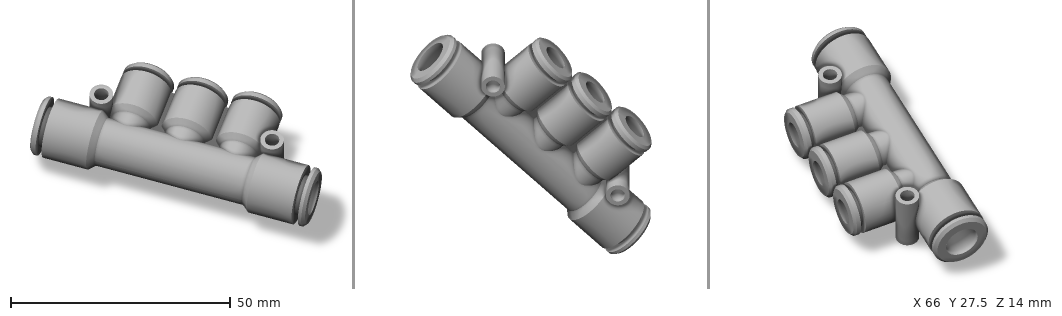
import cadquery as cq


run_half_length = 33.0
run_collar_length = 1.5
run_collar_chamfer = 0.7
run_neck_length = 1.5
run_sleeve_length = 10.7
run_shoulder_length = 1.6
run_collar_radius = 6.9
run_neck_radius = 4.65
run_sleeve_radius = 7.0
run_tube_radius = 5.65
run_socket_radius = 4.0
run_passage_radius = 3.2

branch_count = 3
branch_pitch = 13.0
branch_tip_y = 20.46
branch_collar_length = 1.65
branch_collar_chamfer = 0.6
branch_neck_length = 1.15
branch_sleeve_length = 9.75
branch_shoulder_length = 1.4
branch_collar_radius = 6.05
branch_neck_radius = 4.45
branch_sleeve_radius = 6.1
branch_stem_radius = 4.85
branch_socket_radius = 3.0
branch_passage_radius = 2.3

web_thickness = 1.4
web_tip_y = 17.5

eyelet_x = 20.5
eyelet_y = 7.85
eyelet_radius = 2.7
eyelet_hole_radius = 1.65
eyelet_height = 2 * run_sleeve_radius

branch_xs = [(i - (branch_count - 1) / 2) * branch_pitch for i in range(branch_count)]


def port_outline(tip, collar_length, collar_chamfer, neck_length, sleeve_length, shoulder_length,
                 collar_radius, neck_radius, sleeve_radius, stem_radius):
    """Stepped outer edge of a port about the Y axis, from its stem up to the rim of its face at y = tip."""
    collar_base = tip - collar_length
    sleeve_top = collar_base - neck_length
    sleeve_base = sleeve_top - sleeve_length
    stem_top = sleeve_base - shoulder_length
    return [
        (stem_radius, stem_top),
        (sleeve_radius, sleeve_base),
        (sleeve_radius, sleeve_top),
        (neck_radius, sleeve_top),
        (neck_radius, collar_base),
        (collar_radius, collar_base),
        (collar_radius, tip - collar_chamfer),
        (collar_radius - collar_chamfer, tip),
    ]


def socket_outline(tip, socket_depth, socket_radius, passage_radius):
    """Stepped edge of a bore about the Y axis: a passage, then a wider tube socket open at y = tip."""
    return [
        (passage_radius, tip - socket_depth),
        (socket_radius, tip - socket_depth),
        (socket_radius, tip),
    ]


def turned(outline):
    """Solid of revolution about the Y axis, closed flat at both ends of the outline."""
    start_y = outline[0][1]
    end_y = outline[-1][1]
    profile = [(0, start_y)] + outline + [(0, end_y)]
    return cq.Workplane("XY").polyline(profile).close().revolve(360, (0, 0, 0), (0, 1, 0))


def make_run(half_outline):
    """Mirror one half of an outline and turn it into a double-ended solid along X."""
    mirrored = [(radius, -y) for radius, y in reversed(half_outline)]
    return turned(mirrored + half_outline).rotate((0, 0, 0), (0, 0, 1), -90)


def make_branches(outline):
    """Solids turned from the outline, which is carried straight down to the run axis, one per branch."""
    foot = (outline[0][0], 0)
    branch = turned([foot] + outline)
    copies = branch.translate((branch_xs[0], 0, 0))
    for x in branch_xs[1:]:
        copies = copies.union(branch.translate((x, 0, 0)))
    return copies


def at_eyelets(radius):
    """Vertical cylinders of the full eyelet height on both eyelet axes."""
    return (
        cq.Workplane("XY", origin=(0, 0, -eyelet_height / 2))
        .pushPoints([(-eyelet_x, eyelet_y), (eyelet_x, eyelet_y)])
        .circle(radius)
        .extrude(eyelet_height)
    )


def make_web():
    """Flat plate from the run axis to near the sleeve ends, spanning the axes of the outer branches."""
    width = branch_xs[-1] - branch_xs[0]
    return cq.Workplane("XY").box(width, web_tip_y, web_thickness, centered=(True, False, True))


run_socket_depth = run_collar_length + run_neck_length + run_sleeve_length
branch_socket_depth = branch_collar_length + branch_neck_length + branch_sleeve_length

run = make_run(port_outline(
    run_half_length, run_collar_length, run_collar_chamfer, run_neck_length, run_sleeve_length,
    run_shoulder_length, run_collar_radius, run_neck_radius, run_sleeve_radius, run_tube_radius,
))
branches = make_branches(port_outline(
    branch_tip_y, branch_collar_length, branch_collar_chamfer, branch_neck_length, branch_sleeve_length,
    branch_shoulder_length, branch_collar_radius, branch_neck_radius, branch_sleeve_radius, branch_stem_radius,
))
run_bore = make_run(
    socket_outline(run_half_length, run_socket_depth, run_socket_radius, run_passage_radius)
)
branch_bores = make_branches(
    socket_outline(branch_tip_y, branch_socket_depth, branch_socket_radius, branch_passage_radius)
)

body = run.union(branches).union(make_web()).union(at_eyelets(eyelet_radius))
result = body.cut(run_bore).cut(branch_bores).cut(at_eyelets(eyelet_hole_radius))